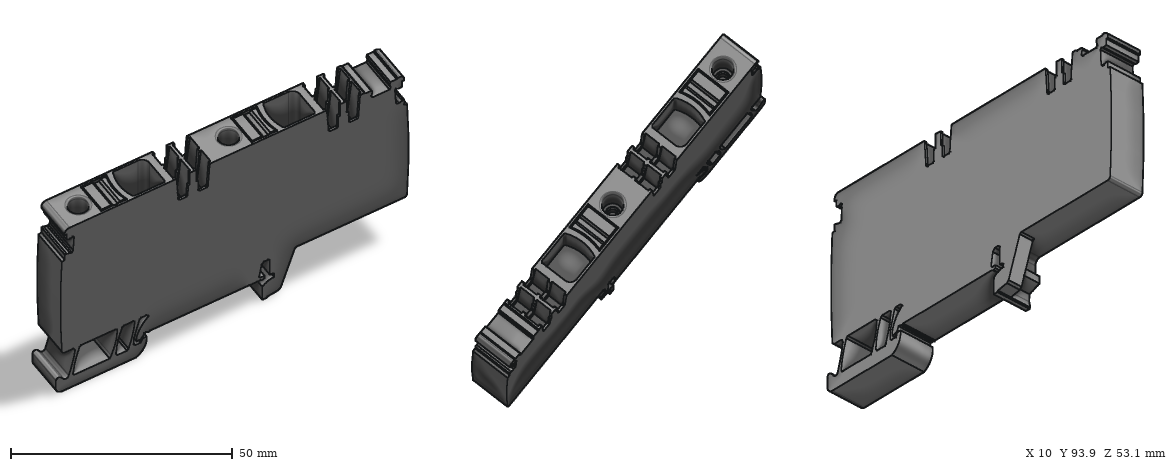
import cadquery as cq
import math


THICKNESS = 10.0
HEIGHT = 53.13
HALF_LENGTH = 46.33
BASE_Z = 12.45
FOOT_END_Y = -47.52
FOOT_CORNER_RADIUS = 1.7
OVERLAP = 1.0

END_LIP = 1.17
END_SHOULDER_Z = 43.2
END_DRAFT = 0.4
END_BOW_TOP_Z = 42.95
END_BASE_RADIUS = 0.9
END_TOP_RADIUS = 1.3
ARC_MIDDLE = 1 - math.sqrt(0.5)

MARKER_Y = 38.98
MARKER_LEDGE_HALF = 4.45
MARKER_LEDGE_Z = 52.85

DIVIDER_YS = (29.0, -11.0)
NOTCH_FLOOR_Z = 45.7
POCKET_FLOOR_Z = 43.0
PLATE_HALF = 0.43
POCKET_X_INNER = 0.43
POCKET_X_OUTER = 4.35

FUNNEL_HALF_WIDTH = 4.4
FUNNEL_NEAR_Y = -7.0
FUNNEL_SIDE_END_Y = -15.5
FUNNEL_FAR_Y = -16.45
FUNNEL_DEPTH = 12.0
FUNNEL_LARGE_RADIUS = 1.9
FUNNEL_SMALL_RADIUS = 0.5

RECESS_HALF_WIDTH = 4.4
RECESS_CORNER_Y = -17.2
RECESS_BOW_Y = -17.8
RECESS_FAR_Y = -24.1
RECESS_DEPTH = 12.0
PUSHER_GAP = 0.35
GRIP_NEAR_Y = -18.9
GRIP_WIDTH = 2.3
GRIP_DEPTH = 0.5
GRIP_SLOPE_RUN = 0.55

SCREW_Y = -27.5
SCREW_HOLE_DIAMETER = 4.9
SCREW_HOLE_DEPTH = 10.0
SCREW_MOUTH_FILLET = 0.6
SCREW_STEP_DIAMETER = 3.4
SCREW_STEP_DEPTH = 0.5
SCREW_PILOT_DIAMETER = 2.5
SCREW_PILOT_DEPTH = 3.0

WEB_THICKNESS = 4.0


def side_plane(x):
    """A sketch plane square to X, with Y and Z as its axes."""
    return cq.Workplane("YZ").workplane(offset=x)


def full_width(sketch_maker):
    """Extrude a side outline through the whole thickness."""
    return sketch_maker(side_plane(-THICKNESS / 2)).extrude(THICKNESS)


def end_wall_points():
    """Top half of an end wall, from the top down, as (setback from the end, Z)."""
    return [
        (END_LIP, HEIGHT - END_TOP_RADIUS),
        (END_LIP, 51.3),
        (1.75, 51.3),
        (1.75, 49.6),
        (2.6, 49.35),
        (3.3, 49.7),
        (3.65, 49.25),
        (3.4, 45.1),
        (3.1, 44.6),
        (2.6, 44.6),
        (1.7, 44.9),
        (END_LIP, 44.9),
        (END_LIP, END_SHOULDER_Z),
        (END_DRAFT, END_BOW_TOP_Z),
    ]


def mirrored(point):
    """The matching point on the other end of the upper part."""
    return (-point[0], point[1])


def upper_outline(plane):
    """Symmetric outline of the upper part, with clip grooves and bowed walls at both ends."""
    half_top = HALF_LENGTH - END_LIP - END_TOP_RADIUS
    top_arc = (HALF_LENGTH - END_LIP - ARC_MIDDLE * END_TOP_RADIUS, HEIGHT - ARC_MIDDLE * END_TOP_RADIUS)
    bow_low = (HALF_LENGTH - END_DRAFT, BASE_Z + END_BASE_RADIUS)
    bow_middle = (HALF_LENGTH, (END_BOW_TOP_Z + bow_low[1]) / 2)
    half_base = bow_low[0] - END_BASE_RADIUS
    base_arc = (bow_low[0] - ARC_MIDDLE * END_BASE_RADIUS, BASE_Z + ARC_MIDDLE * END_BASE_RADIUS)
    wall = [(HALF_LENGTH - setback, z) for setback, z in end_wall_points()]
    mirrored_wall = [mirrored(point) for point in reversed(wall)]
    return (
        plane.moveTo(-half_top, HEIGHT)
        .lineTo(half_top, HEIGHT)
        .threePointArc(top_arc, wall[0])
        .polyline(wall[1:], includeCurrent=True)
        .threePointArc(bow_middle, bow_low)
        .threePointArc(base_arc, (half_base, BASE_Z))
        .lineTo(-half_base, BASE_Z)
        .threePointArc(mirrored(base_arc), mirrored(bow_low))
        .threePointArc(mirrored(bow_middle), mirrored_wall[0])
        .polyline(mirrored_wall[1:], includeCurrent=True)
        .threePointArc(mirrored(top_arc), (-half_top, HEIGHT))
        .close()
    )


def marker_groove():
    """Undercut groove that holds a marker strip, with a shallow ledge on both sides."""
    half = [
        (MARKER_LEDGE_HALF, HEIGHT + OVERLAP),
        (MARKER_LEDGE_HALF, HEIGHT),
        (4.15, MARKER_LEDGE_Z),
        (2.5, MARKER_LEDGE_Z),
        (2.3, 52.2),
        (2.6, 51.0),
        (2.25, 50.5),
    ]
    right = [(MARKER_Y + y, z) for y, z in half]
    left = [(MARKER_Y - y, z) for y, z in reversed(half)]
    return full_width(lambda plane: plane.polyline(right + left).close())


def bridge_notches(divider_y):
    """Two notches through the thickness, with the divider plate between them."""
    notches = []
    for side in (1, -1):
        profile = [
            (0.87, HEIGHT + OVERLAP),
            (0.87, 49.4),
            (1.35, 49.1),
            (1.4, NOTCH_FLOOR_Z + 0.35),
            (1.75, NOTCH_FLOOR_Z),
            (3.6, NOTCH_FLOOR_Z),
            (3.95, NOTCH_FLOOR_Z + 0.35),
            (4.4, HEIGHT - 0.4),
            (4.55, HEIGHT),
            (4.55, HEIGHT + OVERLAP),
        ]
        points = [(divider_y + side * y, z) for y, z in profile]
        notches.append(side_plane(-THICKNESS / 2).polyline(points).close().extrude(THICKNESS))
    return notches


def bridge_pockets(divider_y):
    """Four tapered pockets that widen the notches, in two columns beside a middle rib."""
    pockets = []
    column_width = POCKET_X_OUTER - POCKET_X_INNER
    for side in (1, -1):
        profile = [(PLATE_HALF, HEIGHT), (5.0, HEIGHT), (3.8, POCKET_FLOOR_Z), (1.55, POCKET_FLOOR_Z)]
        points = [(divider_y + side * y, z) for y, z in profile]
        for start_x in (-POCKET_X_OUTER, POCKET_X_INNER):
            pockets.append(side_plane(start_x).polyline(points).close().extrude(column_width))
    return pockets


def wire_funnel(divider_y):
    """Wire entry: a straight-sided pocket whose far side is bowed."""
    near_y = divider_y + FUNNEL_NEAR_Y
    side_end_y = divider_y + FUNNEL_SIDE_END_Y
    far_y = divider_y + FUNNEL_FAR_Y
    funnel = (
        cq.Workplane("XY", origin=(0, 0, HEIGHT - FUNNEL_DEPTH))
        .moveTo(-FUNNEL_HALF_WIDTH, near_y)
        .lineTo(FUNNEL_HALF_WIDTH, near_y)
        .lineTo(FUNNEL_HALF_WIDTH, side_end_y)
        .threePointArc((0, far_y), (-FUNNEL_HALF_WIDTH, side_end_y))
        .close()
        .extrude(FUNNEL_DEPTH)
    )
    funnel = funnel.edges("|Z and >Y and <X").fillet(FUNNEL_LARGE_RADIUS)
    return funnel.edges("|Z and (not <X)").fillet(FUNNEL_SMALL_RADIUS)


def recess_shape(divider_y, gap):
    """Block with a bowed near side; a gap makes it smaller all round for the pusher."""
    half_width = RECESS_HALF_WIDTH - gap
    corner_y = divider_y + RECESS_CORNER_Y - gap
    return (
        cq.Workplane("XY", origin=(0, 0, HEIGHT - RECESS_DEPTH))
        .moveTo(-half_width, corner_y)
        .threePointArc((0, divider_y + RECESS_BOW_Y - gap), (half_width, corner_y))
        .lineTo(half_width, divider_y + RECESS_FAR_Y + gap)
        .lineTo(-half_width, divider_y + RECESS_FAR_Y + gap)
        .close()
        .extrude(RECESS_DEPTH)
    )


def screw_hole(divider_y):
    """Round hole with a rounded mouth and a stepped bottom."""
    hole_radius = SCREW_HOLE_DIAMETER / 2
    step_radius = SCREW_STEP_DIAMETER / 2
    pilot_radius = SCREW_PILOT_DIAMETER / 2
    mouth_radius = hole_radius + SCREW_MOUTH_FILLET
    floor_z = HEIGHT - SCREW_HOLE_DEPTH
    step_z = floor_z - SCREW_STEP_DEPTH
    pilot_z = step_z - SCREW_PILOT_DEPTH
    half_section = (
        cq.Workplane("XZ", origin=(0, divider_y + SCREW_Y, 0))
        .moveTo(0, HEIGHT)
        .lineTo(mouth_radius, HEIGHT)
        .radiusArc((hole_radius, HEIGHT - SCREW_MOUTH_FILLET), -SCREW_MOUTH_FILLET)
        .lineTo(hole_radius, floor_z)
        .lineTo(step_radius, floor_z)
        .lineTo(step_radius, step_z)
        .lineTo(pilot_radius, step_z)
        .lineTo(pilot_radius, pilot_z)
        .lineTo(0, pilot_z)
        .close()
    )
    return half_section.revolve(360, (0, 0, 0), (0, 1, 0))


def plinth_outline(plane):
    """Seat that rests on the rail, with a small nub at one end and a hook at the other."""
    top_z = BASE_Z + OVERLAP
    return (
        plane.moveTo(7.8, top_z)
        .lineTo(7.8, BASE_Z)
        .lineTo(7.15, 11.65)
        .lineTo(6.55, 8.05)
        .lineTo(6.85, 7.7)
        .lineTo(8.0, 7.65)
        .lineTo(8.0, 6.85)
        .lineTo(7.4, 6.6)
        .lineTo(7.0, 6.8)
        .lineTo(-22.5, 6.8)
        .lineTo(-22.8, 6.55)
        .lineTo(-23.5, 6.85)
        .lineTo(-24.05, 6.8)
        .lineTo(-24.35, 5.8)
        .lineTo(-25.3, 5.2)
        .lineTo(-26.0, 5.2)
        .lineTo(-26.0, 6.8)
        .threePointArc((-25.3, 8.7), (-22.8, 11.85))
        .lineTo(-23.35, BASE_Z)
        .lineTo(-23.35, top_z)
        .close()
    )


def clip_outline(plane):
    """Springy S-shaped rail clip."""
    top_z = BASE_Z + OVERLAP
    return (
        plane.moveTo(12.3, top_z)
        .lineTo(12.3, BASE_Z)
        .threePointArc((11.1, 12.05), (10.56, 10.85))
        .lineTo(10.56, 8.55)
        .lineTo(11.9, 7.3)
        .lineTo(11.9, 5.3)
        .lineTo(8.6, 4.0)
        .lineTo(8.55, 2.0)
        .lineTo(8.85, 0.3)
        .lineTo(8.6, 0)
        .lineTo(7.4, 0)
        .lineTo(7.4, 4.35)
        .threePointArc((8.7, 5.35), (10.56, 5.8))
        .lineTo(10.56, 6.8)
        .lineTo(10.2, 7.1)
        .lineTo(9.42, 7.15)
        .lineTo(9.42, 12.0)
        .lineTo(8.95, BASE_Z)
        .lineTo(8.95, top_z)
        .close()
    )


def clip_web():
    """Sloping web behind the clip."""
    points = [
        (16.6, BASE_Z),
        (16.05, 12.1),
        (12.35, 1.45),
        (11.8, 0.85),
        (8.85, 0.3),
        (8.55, 2.0),
        (8.6, 4.0),
        (11.9, 5.3),
        (11.9, 7.3),
        (10.56, 8.55),
        (10.56, BASE_Z),
    ]
    return side_plane(THICKNESS / 2 - WEB_THICKNESS).polyline(points).close().extrude(WEB_THICKNESS)


def foot_outline(plane):
    """Outer outline of the rail foot."""
    top_z = BASE_Z + OVERLAP
    return (
        plane.moveTo(-24.8, top_z)
        .lineTo(-24.8, BASE_Z)
        .lineTo(-25.3, 12.1)
        .lineTo(-26.8, 6.6)
        .lineTo(-26.8, 4.65)
        .lineTo(-26.4, 4.25)
        .lineTo(-24.95, 4.25)
        .lineTo(-24.4, 5.35)
        .lineTo(-23.35, 5.35)
        .threePointArc((-24.1, 1.95), (-26.2, 0))
        .lineTo(FOOT_END_Y + FOOT_CORNER_RADIUS, 0)
        .radiusArc((FOOT_END_Y, FOOT_CORNER_RADIUS), FOOT_CORNER_RADIUS)
        .lineTo(FOOT_END_Y, 4.4)
        .threePointArc((-46.85, 5.15), (-46.15, 4.75))
        .lineTo(-45.5, 3.95)
        .threePointArc((-44.85, 3.6), (-44.1, 4.3))
        .threePointArc((-43.1, 7.9), (-42.4, 11.6))
        .lineTo(-42.85, BASE_Z)
        .lineTo(-42.85, top_z)
        .close()
    )


def narrow_window_outline(plane):
    """Window between the first and second foot ribs."""
    return (
        plane.moveTo(-26.9, BASE_Z)
        .lineTo(-29.4, BASE_Z)
        .lineTo(-29.9, 12.0)
        .threePointArc((-31.05, 8.1), (-31.5, 4.2))
        .lineTo(-31.15, 3.65)
        .lineTo(-28.6, 3.65)
        .lineTo(-28.2, 4.1)
        .threePointArc((-27.1, 8.1), (-26.5, 12.1))
        .close()
    )


def wide_window_outline(plane):
    """Window between the second and third foot ribs."""
    return (
        plane.moveTo(-31.7, BASE_Z)
        .lineTo(-40.75, BASE_Z)
        .lineTo(-41.25, 12.0)
        .threePointArc((-42.35, 8.05), (-42.95, 4.1))
        .lineTo(-42.7, 3.65)
        .lineTo(-33.2, 3.65)
        .lineTo(-32.8, 4.4)
        .threePointArc((-31.6, 8.3), (-31.15, 12.0))
        .close()
    )


def build_housing():
    foot = full_width(foot_outline)
    foot = foot.cut(full_width(narrow_window_outline)).cut(full_width(wide_window_outline))
    body = full_width(upper_outline)
    for addition in (foot, full_width(plinth_outline), full_width(clip_outline), clip_web()):
        body = body.union(addition)
    body = body.cut(marker_groove())
    for divider_y in DIVIDER_YS:
        for cutter in bridge_notches(divider_y) + bridge_pockets(divider_y):
            body = body.cut(cutter)
        body = body.cut(wire_funnel(divider_y))
        body = body.cut(recess_shape(divider_y, 0))
        body = body.cut(screw_hole(divider_y))
    return body


def build_pusher(divider_y):
    """Pusher with a finger-grip groove, standing on the floor of its recess."""
    near_y = divider_y + GRIP_NEAR_Y
    far_y = near_y - GRIP_WIDTH
    floor_z = HEIGHT - GRIP_DEPTH
    groove_points = [
        (near_y, HEIGHT),
        (near_y - GRIP_SLOPE_RUN, floor_z),
        (far_y + GRIP_SLOPE_RUN, floor_z),
        (far_y, HEIGHT),
    ]
    groove = full_width(lambda plane: plane.polyline(groove_points).close())
    return recess_shape(divider_y, PUSHER_GAP).cut(groove)


housing = build_housing()
pushers = [build_pusher(divider_y) for divider_y in DIVIDER_YS]
result = cq.Compound.makeCompound([housing.val(), *[pusher.val() for pusher in pushers]])